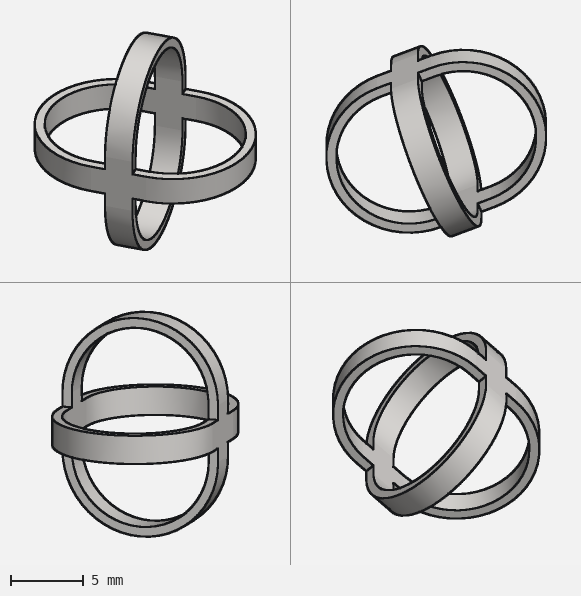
import cadquery as cq

length = 15.4
width = 11.4
wall = 0.7
band = 2.0


def ring(plane):
    """Obround ring, long along the plane's local X and centred on the origin."""
    outer = cq.Workplane(plane).slot2D(length, width).extrude(band / 2, both=True)
    inner = (
        cq.Workplane(plane)
        .slot2D(length - 2 * wall, width - 2 * wall)
        .extrude(band / 2, both=True)
    )
    return outer.cut(inner)


flat_ring = ring("XY")
upright_ring = ring("ZY")

result = flat_ring.union(upright_ring)